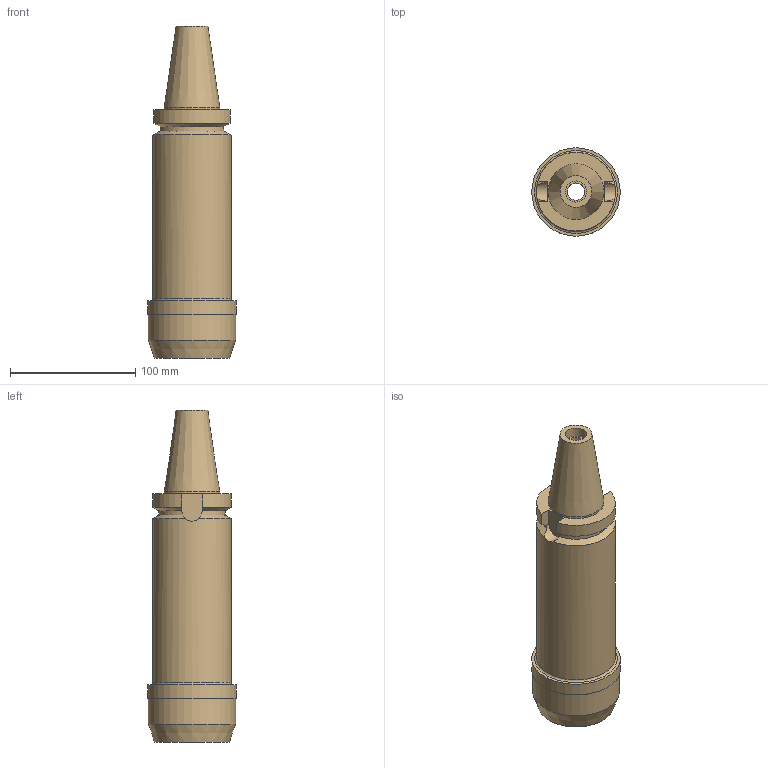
import cadquery as cq
import math

gauge_height = 200.0
taper_length = 65.4
total_height = gauge_height + taper_length

taper_ratio = 7 / 24
gauge_radius = 44.45 / 2
tip_radius = gauge_radius - taper_length * taper_ratio / 2

body_radius = 63.0 / 2
flange_top = gauge_height - 1.7
groove_root_radius = 53.0 / 2
groove_center = gauge_height - 16.9
groove_root_width = 3.6
groove_flank_angle = 30.0
groove_flank_height = (body_radius - groove_root_radius) * math.tan(math.radians(groove_flank_angle))
groove_root_top = groove_center + groove_root_width / 2
groove_root_bottom = groove_center - groove_root_width / 2
groove_top = groove_root_top + groove_flank_height
groove_bottom = groove_root_bottom - groove_flank_height

collar_radius = 70.7 / 2
collar_top = 45.6
collar_bottom = 35.1
collar_fillet = 1.6
nut_radius = 69.7 / 2
nose_cone_height = 14.3
nose_radius = 60.3 / 2

slot_width = 16.1
slot_length = 21.8
slot_floor_offset = 22.5
slot_bottom = flange_top - slot_length

bore_radius = 13.8 / 2
counterbore_radius = 17.0 / 2
counterbore_depth = 8.0


def make_holder_body():
    """Solid of revolution about Z, drawn as a half profile from the nose up."""
    fillet_mid_offset = collar_fillet * (1 - math.sqrt(0.5))
    profile = (
        cq.Workplane("XZ")
        .lineTo(nose_radius, 0)
        .lineTo(nut_radius, nose_cone_height)
        .lineTo(nut_radius, collar_bottom)
        .lineTo(collar_radius, collar_bottom)
        .lineTo(collar_radius, collar_top)
        .lineTo(body_radius + collar_fillet, collar_top)
        .threePointArc(
            (body_radius + fillet_mid_offset, collar_top + fillet_mid_offset),
            (body_radius, collar_top + collar_fillet),
        )
        .lineTo(body_radius, groove_bottom)
        .lineTo(groove_root_radius, groove_root_bottom)
        .lineTo(groove_root_radius, groove_root_top)
        .lineTo(body_radius, groove_top)
        .lineTo(body_radius, flange_top)
        .lineTo(gauge_radius, flange_top)
        .lineTo(gauge_radius, gauge_height)
        .lineTo(tip_radius, total_height)
        .lineTo(0, total_height)
        .close()
    )
    return profile.revolve(360, (0, 0, 0), (0, 1, 0))


def make_drive_slot(side):
    """Cutter for one drive slot; side is -1 for -X and +1 for +X."""
    half_width = slot_width / 2
    arc_center = slot_bottom + half_width
    outline = (
        cq.Workplane("YZ", origin=(side * slot_floor_offset, 0, 0))
        .moveTo(-half_width, flange_top)
        .lineTo(-half_width, arc_center)
        .threePointArc((0, slot_bottom), (half_width, arc_center))
        .lineTo(half_width, flange_top)
        .close()
    )
    return outline.extrude(side * (body_radius - slot_floor_offset))


def make_bore():
    """Cutter for the through bore and its counterbore."""
    bore = cq.Workplane("XY").circle(bore_radius).extrude(total_height)
    counterbore = (
        cq.Workplane("XY", origin=(0, 0, total_height - counterbore_depth))
        .circle(counterbore_radius)
        .extrude(counterbore_depth)
    )
    return bore.union(counterbore)


result = make_holder_body()
for side in (-1, 1):
    result = result.cut(make_drive_slot(side))
result = result.cut(make_bore())